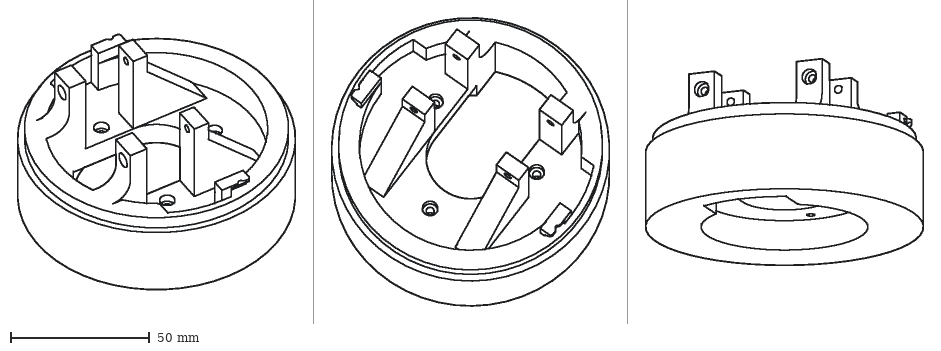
import cadquery as cq
import math

RING_RADIUS = 50.0
LIP_RADIUS = 47.5
CAVITY_RADIUS = 40.0
SHOULDER_Z = 28.0
RING_TOP_Z = 33.0

UNDERSIDE_RADIUS = 30.0
FLOOR_BOTTOM_Z = 11.0
FLOOR_TOP_Z = 20.0

SLOT_HALF_WIDTH = 16.0

POCKET_RADIUS = 45.0
POCKET_FRONT_Y = -20.0

POST_TOP_Z = 53.01
POST_WIDTH = 10.0
POST_X = SLOT_HALF_WIDTH + POST_WIDTH / 2
BACK_POST_DEPTH = 6.0
BACK_SLOPE_TOP_Z = 45.0
BACK_SLOPE_END_Y = BACK_POST_DEPTH + BACK_SLOPE_TOP_Z - FLOOR_TOP_Z
FRONT_POST_BACK_Y = -20.0
FRONT_POST_DEPTH = 7.0
FRONT_POST_FLARE = 7.5

HOLE_DIAMETER = 2.85
COUNTERBORE_DIAMETER = 5.5
FRONT_POST_HOLE_Z = 46.85
BACK_POST_HOLE_Z = 49.2
POST_COUNTERBORE_DEPTH = 3.0
FLOOR_COUNTERBORE_DEPTH = 3.0
FLOOR_HOLE_CIRCLE_RADIUS = 24.5
FLOOR_HOLE_ANGLES = (90.0, -22.5, 202.5)

CLIP_OUTER_X = POCKET_RADIUS
CLIP_WIDTH = 5.0
CLIP_LENGTH = 12.0
CLIP_HEIGHT = 5.0
CLIP_CORNER_RADIUS = 1.0
HOOK_START_Y = 4.0
HOOK_GAP = 0.8
HOOK_UNDERCUT = 3.0
NOTCH_Y = 8.0
NOTCH_RADIUS = 1.0
NOTCH_EDGE_RADIUS = 1.0


def cylinder(radius, bottom_z, top_z):
    return cq.Workplane("XY").workplane(offset=bottom_z).circle(radius).extrude(top_z - bottom_z)


def extrude_across_x(outline, center_x, width):
    """Extrude a closed (Y, Z) outline along X, centred on center_x."""
    return outline.extrude(width / 2, both=True).translate((center_x, 0, 0))


def both_sides(body):
    return body.union(body.mirror("YZ"))


def make_ring():
    ring = cylinder(RING_RADIUS, 0, SHOULDER_Z)
    ring = ring.union(cylinder(LIP_RADIUS, SHOULDER_Z, RING_TOP_Z))
    ring = ring.cut(cylinder(UNDERSIDE_RADIUS, 0, FLOOR_BOTTOM_Z))
    return ring.cut(cylinder(CAVITY_RADIUS, FLOOR_TOP_Z, RING_TOP_Z))


def make_side_pockets():
    band = (
        cq.Workplane("XY")
        .workplane(offset=FLOOR_TOP_Z)
        .rect(2 * RING_RADIUS, -POCKET_FRONT_Y)
        .extrude(RING_TOP_Z - FLOOR_TOP_Z)
        .translate((0, POCKET_FRONT_Y / 2, 0))
    )
    return cylinder(POCKET_RADIUS, FLOOR_TOP_Z, RING_TOP_Z).intersect(band)


def make_slot():
    slot = (
        cq.Workplane("XY")
        .moveTo(-SLOT_HALF_WIDTH, -RING_RADIUS)
        .lineTo(-SLOT_HALF_WIDTH, 0)
        .threePointArc((0, SLOT_HALF_WIDTH), (SLOT_HALF_WIDTH, 0))
        .lineTo(SLOT_HALF_WIDTH, -RING_RADIUS)
        .close()
        .extrude(FLOOR_TOP_Z)
    )
    return slot.intersect(cylinder(CAVITY_RADIUS, 0, FLOOR_TOP_Z))


def make_back_post():
    outline = (
        cq.Workplane("YZ")
        .moveTo(0, FLOOR_TOP_Z)
        .lineTo(0, POST_TOP_Z)
        .lineTo(BACK_POST_DEPTH, POST_TOP_Z)
        .lineTo(BACK_POST_DEPTH, BACK_SLOPE_TOP_Z)
        .lineTo(BACK_SLOPE_END_Y, FLOOR_TOP_Z)
        .close()
    )
    return extrude_across_x(outline, POST_X, POST_WIDTH)


def make_front_post():
    """Post flared onto the ring top, with its base filling the cavity out to the ring."""
    front_y = FRONT_POST_BACK_Y - FRONT_POST_DEPTH
    foot_y = front_y - FRONT_POST_FLARE
    base_front_y = -math.sqrt(CAVITY_RADIUS**2 - SLOT_HALF_WIDTH**2)
    flare_top_z = RING_TOP_Z + FRONT_POST_FLARE
    arc_offset = FRONT_POST_FLARE * (1 - math.sqrt(0.5))
    outline = (
        cq.Workplane("YZ")
        .moveTo(FRONT_POST_BACK_Y, FLOOR_TOP_Z)
        .lineTo(FRONT_POST_BACK_Y, POST_TOP_Z)
        .lineTo(front_y, POST_TOP_Z)
        .lineTo(front_y, flare_top_z)
        .threePointArc((front_y - arc_offset, RING_TOP_Z + arc_offset), (foot_y, RING_TOP_Z))
        .lineTo(base_front_y, RING_TOP_Z)
        .lineTo(base_front_y, FLOOR_TOP_Z)
        .close()
    )
    return extrude_across_x(outline, POST_X, POST_WIDTH)


def make_front_post_hole():
    """Screw hole through a front post, counterbored from the front."""
    front_y = FRONT_POST_BACK_Y - FRONT_POST_DEPTH
    head_plane = cq.Workplane("XZ", origin=(POST_X, front_y, FRONT_POST_HOLE_Z))
    shank = head_plane.circle(HOLE_DIAMETER / 2).extrude(-FRONT_POST_DEPTH)
    head = head_plane.circle(COUNTERBORE_DIAMETER / 2).extrude(-POST_COUNTERBORE_DEPTH)
    return shank.union(head)


def make_back_post_hole():
    front_plane = cq.Workplane("XZ", origin=(POST_X, 0, BACK_POST_HOLE_Z))
    return front_plane.circle(HOLE_DIAMETER / 2).extrude(-BACK_POST_DEPTH)


def make_floor_holes():
    holes = cq.Workplane("XY")
    for angle in FLOOR_HOLE_ANGLES:
        x = FLOOR_HOLE_CIRCLE_RADIUS * math.cos(math.radians(angle))
        y = FLOOR_HOLE_CIRCLE_RADIUS * math.sin(math.radians(angle))
        shank = cylinder(HOLE_DIAMETER / 2, FLOOR_BOTTOM_Z, FLOOR_TOP_Z)
        head = cylinder(COUNTERBORE_DIAMETER / 2, FLOOR_TOP_Z - FLOOR_COUNTERBORE_DEPTH, FLOOR_TOP_Z)
        holes = holes.add(shank.union(head).translate((x, y, 0)))
    return holes.combine()


def make_clip():
    """Clip on the +X side, undercut at 45 degrees below its outer edge."""
    inner_x = CLIP_OUTER_X - CLIP_WIDTH
    block = (
        cq.Workplane("XY", origin=(0, 0, RING_TOP_Z))
        .moveTo(inner_x, 0)
        .lineTo(CLIP_OUTER_X, 0)
        .lineTo(CLIP_OUTER_X, CLIP_LENGTH)
        .lineTo(inner_x, CLIP_LENGTH)
        .close()
        .extrude(CLIP_HEIGHT)
        .edges("|Z and >X and >Y")
        .fillet(CLIP_CORNER_RADIUS)
    )
    notch = (
        cq.Workplane("XY", origin=(CLIP_OUTER_X, NOTCH_Y, RING_TOP_Z))
        .circle(NOTCH_RADIUS)
        .extrude(CLIP_HEIGHT)
    )
    notch_edges = cq.selectors.BoxSelector(
        (CLIP_OUTER_X - NOTCH_RADIUS / 2, NOTCH_Y - 1.5 * NOTCH_RADIUS, RING_TOP_Z),
        (CLIP_OUTER_X + NOTCH_RADIUS / 2, NOTCH_Y + 1.5 * NOTCH_RADIUS, RING_TOP_Z + CLIP_HEIGHT),
    )
    block = block.cut(notch).edges("|Z").edges(notch_edges).fillet(NOTCH_EDGE_RADIUS)
    gap_top_z = RING_TOP_Z + HOOK_GAP
    undercut = (
        cq.Workplane("XZ", origin=(0, HOOK_START_Y, 0))
        .moveTo(CLIP_OUTER_X - HOOK_UNDERCUT, RING_TOP_Z)
        .lineTo(CLIP_OUTER_X - HOOK_UNDERCUT, gap_top_z)
        .lineTo(CLIP_OUTER_X, gap_top_z + HOOK_UNDERCUT)
        .lineTo(CLIP_OUTER_X, RING_TOP_Z)
        .close()
        .extrude(-(CLIP_LENGTH - HOOK_START_Y))
    )
    return block.cut(undercut)


result = make_ring().cut(make_side_pockets()).cut(make_slot())
result = result.union(both_sides(make_back_post()))
result = result.union(both_sides(make_front_post()))
result = result.union(both_sides(make_clip()))
result = result.cut(both_sides(make_front_post_hole()))
result = result.cut(both_sides(make_back_post_hole()))
result = result.cut(make_floor_holes())